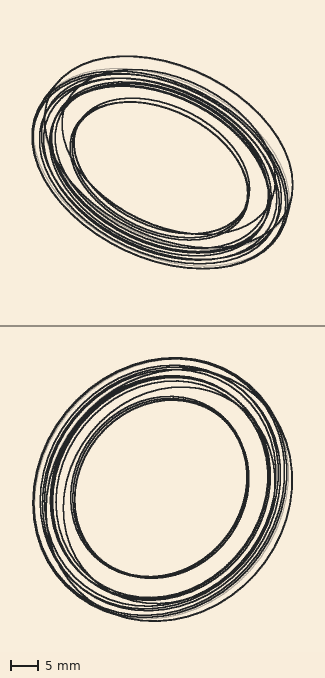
import cadquery as cq

outer_radius = 24.75
housing_depth = 5.05
edge_chamfer = 0.3

cylinder_end = 1.05
taper_back_radius = 24.1
back_chamfer_width = 0.1

bore_radius = 17.0
back_bore_radius = 20.65
bore_step_depth = 1.35

seal_radius = 0.65
seal_protrusion = 0.15
groove_inner_radius = 21.25
groove_outer_radius = 23.2
groove_depth = 2 * seal_radius - seal_protrusion


def revolve_about_y(profile):
    return profile.revolve(360, (0, 0, 0), (0, 1, 0))


def make_housing():
    profile = (
        cq.Workplane("XY")
        .moveTo(bore_radius + edge_chamfer, 0)
        .lineTo(groove_inner_radius, 0)
        .lineTo(groove_inner_radius, groove_depth)
        .lineTo(groove_outer_radius, groove_depth)
        .lineTo(groove_outer_radius, 0)
        .lineTo(outer_radius - edge_chamfer, 0)
        .lineTo(outer_radius, edge_chamfer)
        .lineTo(outer_radius, cylinder_end)
        .lineTo(taper_back_radius, housing_depth - edge_chamfer)
        .lineTo(taper_back_radius - back_chamfer_width, housing_depth)
        .lineTo(back_bore_radius, housing_depth)
        .lineTo(back_bore_radius, bore_step_depth)
        .lineTo(bore_radius, bore_step_depth)
        .lineTo(bore_radius, edge_chamfer)
        .close()
    )
    return revolve_about_y(profile)


def make_seal():
    """O-ring resting on the groove floor, against the inner groove wall."""
    center_radius = groove_inner_radius + seal_radius
    center_depth = groove_depth - seal_radius
    profile = cq.Workplane("XY").center(center_radius, center_depth).circle(seal_radius)
    return profile.revolve(360, (-center_radius, 0, 0), (-center_radius, 1, 0))


housing = make_housing()
seal = make_seal()

result = cq.Compound.makeCompound([housing.val(), seal.val()])